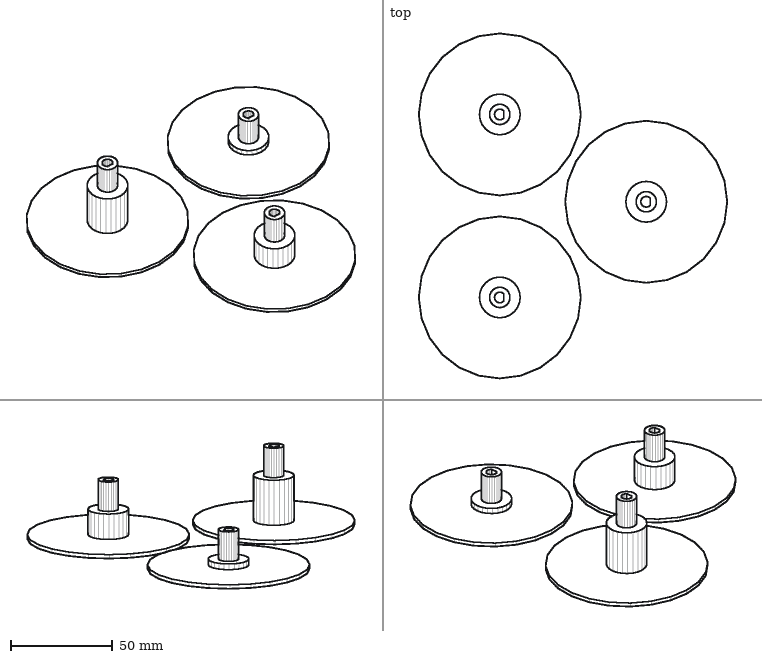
import cadquery as cq

SIDES = 24

DISC_RADIUS = 40.0
DISC_THICKNESS = 2.0

BOSS_RADIUS = 10.0
LOW_BOSS_TOP = 5.0
BOSS_TOP_STEP = 10.0

POST_RADIUS = BOSS_RADIUS / 2
POST_HEIGHT = 15.0

SOCKET_DIAMETER = 5.3
SOCKET_FLAT_OFFSET = 2.0
SOCKET_DEPTH = POST_HEIGHT

PAIR_SPACING = 90.1
SIDE_SPACING = 72.0
SIDE_SHIFT = 2.0


def prism(radius, bottom, top):
    """Upright regular prism about the Z axis, sized across its corners."""
    return (
        cq.Workplane("XY")
        .workplane(offset=bottom)
        .polygon(SIDES, 2 * radius)
        .extrude(top - bottom)
    )


def d_socket(top):
    """Socket volume reaching down from the post top, cut off by its flat."""
    bottom = top - SOCKET_DEPTH
    flat_side = (
        cq.Workplane("XY")
        .box(SOCKET_DIAMETER, SOCKET_DIAMETER, SOCKET_DEPTH, centered=(False, True, False))
        .translate((SOCKET_FLAT_OFFSET, 0, bottom))
    )
    return prism(SOCKET_DIAMETER / 2, bottom, top).cut(flat_side)


def stand(boss_top):
    """One stand: disc, boss and post in one piece, with the socket cut in."""
    post_top = boss_top + POST_HEIGHT
    disc = prism(DISC_RADIUS, 0, DISC_THICKNESS)
    boss = prism(BOSS_RADIUS, DISC_THICKNESS, boss_top)
    post = prism(POST_RADIUS, boss_top, post_top)
    return disc.union(boss).union(post).cut(d_socket(post_top))


STAND_CENTRES = [
    (-SIDE_SPACING / 2, PAIR_SPACING / 2),
    (SIDE_SPACING / 2, SIDE_SHIFT),
    (-SIDE_SPACING / 2, -PAIR_SPACING / 2),
]

stands = []
for step, (x, y) in enumerate(STAND_CENTRES):
    boss_top = LOW_BOSS_TOP + step * BOSS_TOP_STEP
    stands.append(stand(boss_top).translate((x, y, 0)))

result = cq.Compound.makeCompound([body.val() for body in stands])